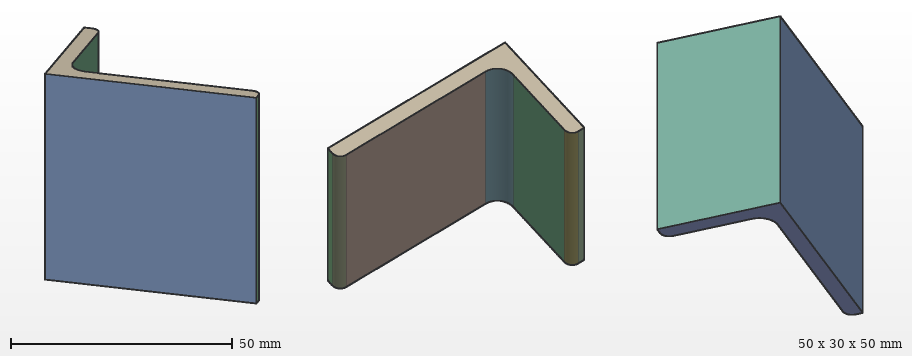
import cadquery as cq

long_leg = 50.0
short_leg = 30.0
length = 50.0
thickness = 4.0
root_radius = 4.5
toe_radius = root_radius / 2

section = [
    (0, 0),
    (long_leg, 0),
    (long_leg, thickness),
    (thickness, thickness),
    (thickness, short_leg),
    (0, short_leg),
]
angle = cq.Workplane("XY").polyline(section).close().extrude(length)


def round_edge(body, x, y, radius):
    """Fillet the vertical edge that passes through (x, y)."""
    edge = cq.selectors.NearestToPointSelector((x, y, length / 2))
    return body.edges("|Z").edges(edge).fillet(radius)


angle = round_edge(angle, thickness, thickness, root_radius)
angle = round_edge(angle, long_leg, thickness, toe_radius)
angle = round_edge(angle, thickness, short_leg, toe_radius)

result = angle